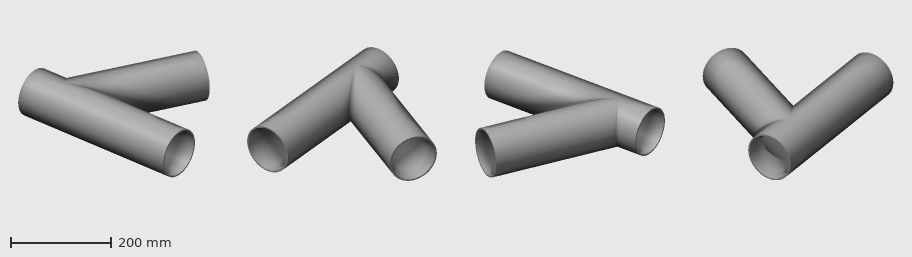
import cadquery as cq

outer_diameter = 101.5
inner_diameter = 95.5

run_length = 368.3

branch_start_x = 76.0
branch_angle = 60.0
branch_length = 292.0


def run_cylinder(diameter):
    """Solid cylinder along the main run."""
    return cq.Workplane("YZ").circle(diameter / 2).extrude(run_length)


def branch_cylinder(diameter):
    """Solid cylinder along the branch, starting on the main axis."""
    along_x = cq.Workplane("YZ").circle(diameter / 2).extrude(branch_length)
    turned = along_x.rotate((0, 0, 0), (0, 0, 1), branch_angle)
    return turned.translate((branch_start_x, 0, 0))


body = run_cylinder(outer_diameter).union(branch_cylinder(outer_diameter))
result = body.cut(run_cylinder(inner_diameter)).cut(branch_cylinder(inner_diameter))